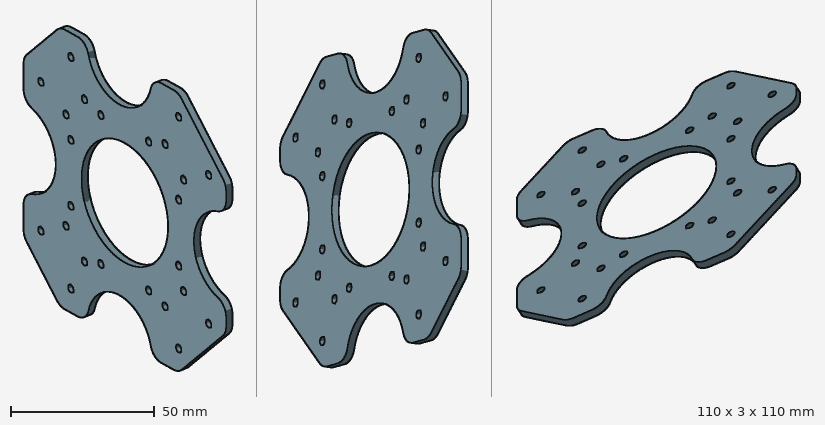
import cadquery as cq

plate_size = 110
plate_thickness = 3.0
half_size = plate_size / 2
bore_diameter = 47.0

notch_radius = 17.5
notch_offset = -2.9
left_slope_start = 35.1
right_slope_start = 29.2
edge_fillet = 6.0

hole_diameter = 3.0
diamond_centre = 29.3
diamond_reach = 16.3
pair_far = 31.9
pair_near = 21.9


def make_plate():
    """Octagonal plate with a round notch in each side and rounded corners."""
    outline = [
        (-half_size, -left_slope_start),
        (-left_slope_start, -half_size),
        (right_slope_start, -half_size),
        (half_size, -right_slope_start),
        (half_size, right_slope_start),
        (right_slope_start, half_size),
        (-left_slope_start, half_size),
        (-half_size, left_slope_start),
    ]
    notch_centres = [
        (-half_size, 0),
        (half_size, 0),
        (notch_offset, -half_size),
        (notch_offset, half_size),
    ]
    plate = cq.Workplane("XZ").polyline(outline).close().extrude(plate_thickness / 2, both=True)
    notches = round_cutters(notch_centres, 2 * notch_radius)
    return plate.cut(notches).edges("|Y").fillet(edge_fillet)


def hole_centres():
    """Hole positions of one quadrant, mirrored into all four."""
    quadrant = [
        (diamond_centre - diamond_reach, diamond_centre),
        (diamond_centre + diamond_reach, diamond_centre),
        (diamond_centre, diamond_centre - diamond_reach),
        (diamond_centre, diamond_centre + diamond_reach),
        (pair_far, pair_near),
        (pair_near, pair_far),
    ]
    return [(sx * x, sz * z) for sx in (-1, 1) for sz in (-1, 1) for x, z in quadrant]


def round_cutters(centres, diameter):
    """Cylinders along Y that pass right through the plate."""
    return (
        cq.Workplane("XZ")
        .pushPoints(centres)
        .circle(diameter / 2)
        .extrude(plate_thickness, both=True)
    )


result = (
    make_plate()
    .cut(round_cutters([(0, 0)], bore_diameter))
    .cut(round_cutters(hole_centres(), hole_diameter))
)